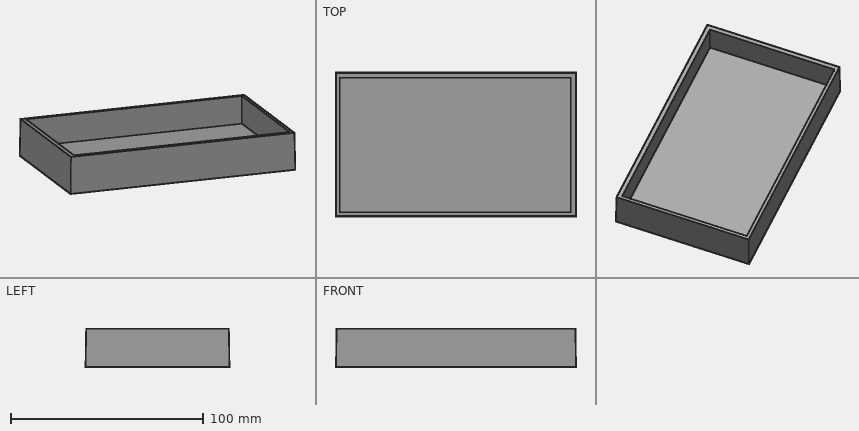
import cadquery as cq
import math

LENGTH = 125.0
WIDTH = 75.0
HEIGHT = 20.0

DRAFT_ANGLE = 1.0
WALL_THICKNESS = 2.5
FLOOR_THICKNESS = 5.0

draft_inset = HEIGHT * math.tan(math.radians(DRAFT_ANGLE))

cavity_length = LENGTH - 2 * WALL_THICKNESS
cavity_width = WIDTH - 2 * WALL_THICKNESS
cavity_depth = HEIGHT - FLOOR_THICKNESS

cavity_shift = -draft_inset


def make_drafted_block():
    """Solid block whose four sides taper inward towards the top."""
    return cq.Workplane("XY").rect(LENGTH, WIDTH).extrude(HEIGHT, taper=DRAFT_ANGLE)


def make_cavity():
    """Straight-sided rectangular pocket volume, open at the top of the tray."""
    floor = cq.Workplane("XY").workplane(offset=FLOOR_THICKNESS)
    outline = floor.center(cavity_shift, cavity_shift).rect(cavity_length, cavity_width)
    return outline.extrude(cavity_depth)


result = make_drafted_block().cut(make_cavity())